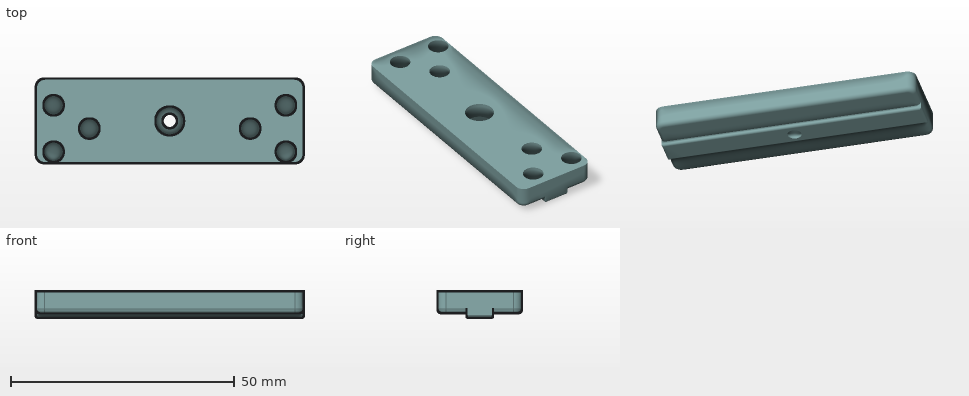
import cadquery as cq

plate_length = 60.0
plate_width = 19.0
plate_thickness = 5.0
corner_radius = 2.0
plate_bottom_fillet = 1.0

total_height = 6.0
rail_width = 6.0
rail_fillet = 0.5
rail_bottom = plate_thickness - total_height

screw_diameter = 3.2
counterbore_diameter = 6.5
counterbore_depth = 3.5

pocket_diameter = 4.6
pocket_depth = 4.0
end_pocket_x = 26.0
end_pocket_back_y = 3.5
end_pocket_front_y = -6.9
inner_pocket_x = 18.0
inner_pocket_y = -1.7


def make_plate():
    """Plate with rounded corners and a rounded bottom rim, bottom face at Z = 0."""
    plate = cq.Workplane("XY").box(plate_length, plate_width, plate_thickness, centered=(True, True, False))
    return plate.edges("|Z").fillet(corner_radius).faces("<Z").edges().fillet(plate_bottom_fillet)


def make_rail():
    """Square-ended rail with a rounded bottom rim, reaching up to the plate's top face."""
    rail = cq.Workplane("XY", origin=(0, 0, rail_bottom)).box(
        plate_length, rail_width, total_height, centered=(True, True, False)
    )
    return rail.faces("<Z").edges().fillet(rail_fillet)


def pocket_centers():
    """Pocket centres on both ends of the plate."""
    one_side = [
        (end_pocket_x, end_pocket_back_y),
        (end_pocket_x, end_pocket_front_y),
        (inner_pocket_x, inner_pocket_y),
    ]
    return [(side * x, y) for side in (-1, 1) for x, y in one_side]


def cut_holes(body):
    """Drill the counterbored screw hole and the blind pockets from the top face."""
    top = cq.Workplane("XY", origin=(0, 0, plate_thickness))
    screw = top.circle(screw_diameter / 2).extrude(-total_height)
    counterbore = top.circle(counterbore_diameter / 2).extrude(-counterbore_depth)
    pockets = top.pushPoints(pocket_centers()).circle(pocket_diameter / 2).extrude(-pocket_depth)
    return body.cut(screw).cut(counterbore).cut(pockets)


result = cut_holes(make_plate().union(make_rail()))